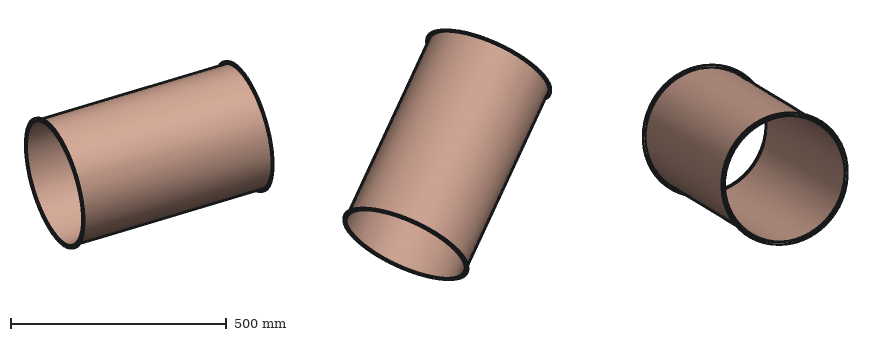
import cadquery as cq

length = 488.0
bore_diameter = 299.0
tube_diameter = 303.0
flange_diameter = 315.0
flange_thickness = 2.1


def cylinder_along_y(diameter, start, depth):
    """Solid cylinder on the Y axis, from Y = start to Y = start + depth."""
    base = cq.Vector(0, start, 0)
    return cq.Workplane(cq.Solid.makeCylinder(diameter / 2, depth, base, cq.Vector(0, 1, 0)))


duct = cylinder_along_y(tube_diameter, -length / 2, length)

for flange_start in (-length / 2, length / 2 - flange_thickness):
    duct = duct.union(cylinder_along_y(flange_diameter, flange_start, flange_thickness))

result = duct.cut(cylinder_along_y(bore_diameter, -length / 2, length))